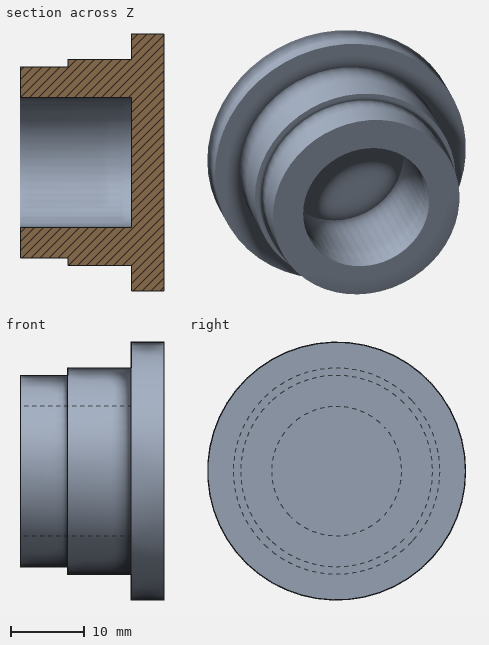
import cadquery as cq

flange_diameter = 35.0
body_diameter = 28.0
nose_diameter = 26.0
bore_diameter = 17.6

nose_length = 6.4
body_length = 8.6
flange_thickness = 4.48

bore_depth = nose_length + body_length


def cylinder_along_x(diameter, start, length):
    """Solid cylinder centred on the X axis, running from start toward +X."""
    return cq.Workplane("YZ", origin=(start, 0, 0)).circle(diameter / 2).extrude(length)


nose = cylinder_along_x(nose_diameter, 0, nose_length)
body = cylinder_along_x(body_diameter, nose_length, body_length)
flange = cylinder_along_x(flange_diameter, nose_length + body_length, flange_thickness)
bore = cylinder_along_x(bore_diameter, 0, bore_depth)

result = nose.union(body).union(flange).cut(bore)